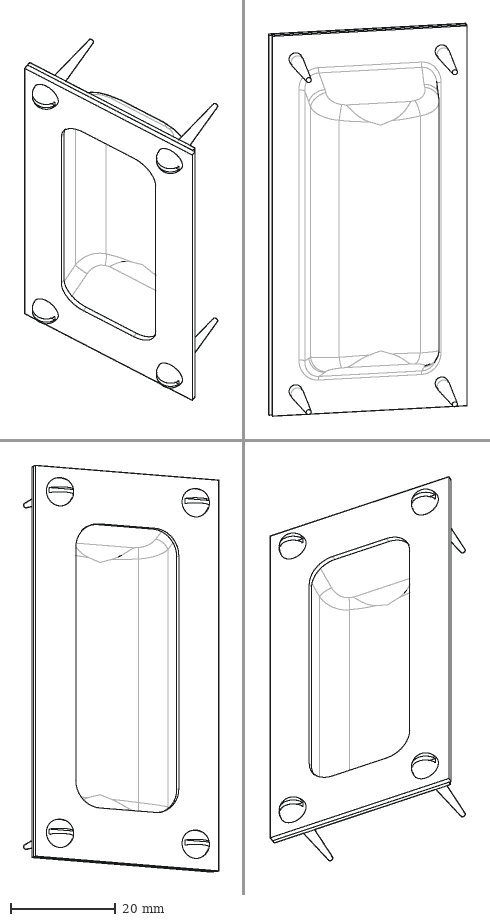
import cadquery as cq
import math

PLATE_WIDTH = 38.5
PLATE_HEIGHT = 76.2
PLATE_THICKNESS = 1.0
OPENING_WIDTH = 21.65
OPENING_HEIGHT = 55.4
OPENING_CORNER_RADIUS = 5.0

SHEET_THICKNESS = 0.8
FLANGE_SIDE_SETBACK = 0.5
CUP_DEPTH = 11.3
CUP_MOUTH_WIDTH = 25.9
CUP_MOUTH_HEIGHT = 61.4
SIDE_DRAFT_ANGLE = 5.0
END_SLOPE_ANGLE = 26.0
CROWN_RADIUS = 34.3
SHOULDER_RADIUS = 6.0
END_RIM_RADIUS = 3.0
CROWN_END_RADIUS = 4.1
ROOT_RADIUS = 1.0

SCREW_SPACING_X = 28.5
SCREW_SPACING_Z = 66.6
HEAD_RADIUS = 2.75
SHANK_DIAMETER = 2.5
SHANK_STRAIGHT_LENGTH = 3.8
SHANK_TAPER_LENGTH = 12.0
TIP_DIAMETER = 1.0
SLOT_WIDTH = 1.0
SLOT_DEPTH = 1.8

FLANGE_WIDTH = PLATE_WIDTH - FLANGE_SIDE_SETBACK
CUP_CENTER_X = -FLANGE_SIDE_SETBACK / 2
FLANGE_BACK_Y = PLATE_THICKNESS + SHEET_THICKNESS
CROWN_TOP_Y = FLANGE_BACK_Y + CUP_DEPTH
SCREW_PLACES = [
    (side_x * SCREW_SPACING_X / 2, side_z * SCREW_SPACING_Z / 2)
    for side_x in (-1, 1)
    for side_z in (-1, 1)
]


def back_facing_plane(y):
    """Workplane at the given y whose extrusions run toward +Y; its second axis is -Z."""
    return cq.Workplane(cq.Plane(origin=(0, y, 0), xDir=(1, 0, 0), normal=(0, 1, 0)))


def slab(width, height, thickness, y, center_x=0.0):
    """Box between y and y + thickness, centered on Z = 0."""
    return back_facing_plane(y).center(center_x, 0).rect(width, height).extrude(thickness)


def shank_holes():
    """Cylinders that clear the screw shanks through plate and flange."""
    return (
        back_facing_plane(0)
        .pushPoints(SCREW_PLACES)
        .circle(SHANK_DIAMETER / 2)
        .extrude(FLANGE_BACK_Y)
    )


def make_plate():
    """Flat plate with a round-cornered opening and four screw holes."""
    opening = slab(OPENING_WIDTH, OPENING_HEIGHT, PLATE_THICKNESS, 0)
    opening = opening.edges("|Y").fillet(OPENING_CORNER_RADIUS)
    return slab(PLATE_WIDTH, PLATE_HEIGHT, PLATE_THICKNESS, 0).cut(opening).cut(shank_holes())


def crowned_prism(inset):
    """Drafted cross-section with a crowned back and rounded shoulders, longer than the cup."""
    draft = math.radians(SIDE_DRAFT_ANGLE)
    crown_y = CROWN_TOP_Y - inset
    crown_radius = CROWN_RADIUS - inset

    def half_width(y):
        return CUP_MOUTH_WIDTH / 2 - inset / math.cos(draft) - (y - FLANGE_BACK_Y) * math.tan(draft)

    crown_center_y = crown_y - crown_radius
    side_gap = half_width(crown_center_y) * math.cos(draft)
    half_chord = math.sqrt(crown_radius**2 - side_gap**2)
    shoulder_y = crown_center_y + side_gap * math.sin(draft) + half_chord * math.cos(draft)
    shoulder_half = half_width(shoulder_y)
    mouth_half = half_width(0)
    prism = (
        cq.Workplane("XY", origin=(CUP_CENTER_X, 0, 0))
        .moveTo(-mouth_half, 0)
        .lineTo(mouth_half, 0)
        .lineTo(shoulder_half, shoulder_y)
        .threePointArc((0, crown_y), (-shoulder_half, shoulder_y))
        .close()
        .extrude(PLATE_HEIGHT / 2, both=True)
    )
    return prism.edges("|Z").edges(">Y").fillet(SHOULDER_RADIUS - inset)


def end_trim(inset, back_y):
    """Trapezoid across the full width that slopes both cup ends and stops at back_y."""
    slope = math.radians(END_SLOPE_ANGLE)

    def half_height(y):
        return CUP_MOUTH_HEIGHT / 2 - inset / math.cos(slope) - (y - FLANGE_BACK_Y) * math.tan(slope)

    return (
        cq.Workplane("YZ")
        .polyline([
            (0, -half_height(0)),
            (back_y, -half_height(back_y)),
            (back_y, half_height(back_y)),
            (0, half_height(0)),
        ])
        .close()
        .extrude(PLATE_WIDTH / 2, both=True)
    )


def cup_form(inset):
    """Solid cup form from the plate's front plane back, with every face moved inward by inset."""
    crown_y = CROWN_TOP_Y - inset
    past_crown_y = CROWN_TOP_Y + SHEET_THICKNESS
    form = crowned_prism(inset).intersect(end_trim(inset, past_crown_y))
    mouth_rim = form.faces("<Y").edges().vals()
    end_rims = form.faces(">Z or <Z").edges().filter(
        lambda edge: not any(edge.isSame(rim) for rim in mouth_rim)
    )
    form = form.newObject(end_rims.vals()).fillet(END_RIM_RADIUS - inset)
    rounded_trim = end_trim(inset, crown_y).edges("|X").edges(">Y").fillet(CROWN_END_RADIUS - inset)
    return form.intersect(rounded_trim)


def make_cup():
    """Thin-walled cup joined to its flange with a rounded root."""
    in_front = slab(PLATE_WIDTH, PLATE_HEIGHT, PLATE_THICKNESS, 0)
    flange = slab(FLANGE_WIDTH, PLATE_HEIGHT, SHEET_THICKNESS, PLATE_THICKNESS, CUP_CENTER_X)
    cup = flange.union(cup_form(0).cut(in_front))
    zone_x = CUP_MOUTH_WIDTH / 2 + SHEET_THICKNESS
    zone_z = CUP_MOUTH_HEIGHT / 2 + SHEET_THICKNESS
    zone_y = SHEET_THICKNESS / 2
    root_zone = cq.selectors.BoxSelector(
        (-zone_x, FLANGE_BACK_Y - zone_y, -zone_z),
        (zone_x, FLANGE_BACK_Y + zone_y, zone_z),
    )
    cup = cup.edges(root_zone).fillet(ROOT_RADIUS)
    return cup.cut(cup_form(SHEET_THICKNESS)).cut(shank_holes())


def make_screw(center_x, center_z):
    """Round-head screw with a straight neck, a tapered shank and a slotted head."""
    tip_y = SHANK_STRAIGHT_LENGTH + SHANK_TAPER_LENGTH
    dome = HEAD_RADIUS * math.sqrt(0.5)
    screw = (
        cq.Workplane("XY")
        .moveTo(0, -HEAD_RADIUS)
        .threePointArc((dome, -dome), (HEAD_RADIUS, 0))
        .lineTo(SHANK_DIAMETER / 2, 0)
        .lineTo(SHANK_DIAMETER / 2, SHANK_STRAIGHT_LENGTH)
        .lineTo(TIP_DIAMETER / 2, tip_y)
        .lineTo(0, tip_y)
        .close()
        .revolve(360, (0, 0, 0), (0, 1, 0))
    )
    slot = slab(2 * HEAD_RADIUS, SLOT_WIDTH, SLOT_DEPTH, -HEAD_RADIUS)
    return screw.cut(slot).translate((center_x, 0, center_z))


plate = make_plate()
cup = make_cup()
screws = [make_screw(x, z) for x, z in SCREW_PLACES]

result = cq.Compound.makeCompound([
    plate.solids().val(),
    cup.solids().val(),
    *[screw.solids().val() for screw in screws],
])